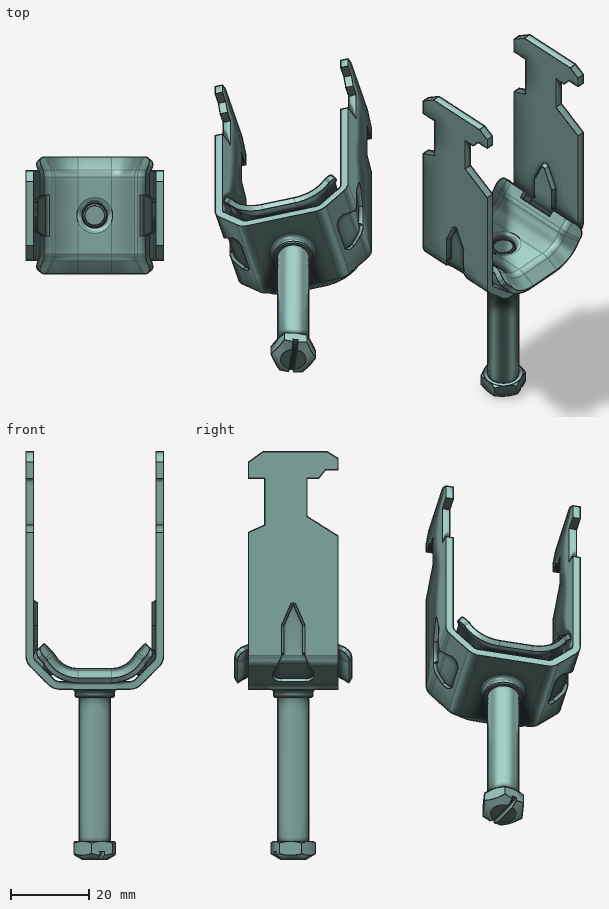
import cadquery as cq
import math


sheet = 2.0
strap_half_width = 17.7
strap_top = 60.9
bevel_start = 10.7
bend_radius = 4.0
leg_half_depth = 11.5
collar_diameter = 10.0
collar_height = 2.1
collar_fillet = 0.9
collar_chamfer = 0.3

neck_front = -7.3
neck_back = 3.6
hook_bottom = strap_top - 6.9
neck_bottom_back = strap_top - 16.6
neck_bottom_front = strap_top - 18.8
shoulder_back = strap_top - 21.6
shoulder_front = strap_top - 20.7
head_front_corner = strap_top - 2.7
head_back_corner = strap_top - 1.8
head_top_front = -7.7
head_top_back = 8.7
hook_tip_bottom = strap_top - 4.7
hook_inner = 6.5
hook_outer = 8.3

emboss_depth = 1.0
bead_half_width = 3.0
bead_shoulder = 16.4
bead_tip = 22.2
bead_tip_half_width = 0.7
bead_tip_rise = 0.5
bead_draft = 31
bead_rim = 0.6
bead_tool_depth = 1.5
bevel_bead_half_width = 5.3
bevel_bead_bottom = 2.8
bevel_bead_widest = 5.9
bevel_bead_top = 11.1
bevel_bead_radius = 2.1
bevel_tool_depth = 2.1

saddle_sheet = 1.5
saddle_floor = 5.3
floor_half_width = 4.3
trough_radius = 6.8
trough_angle = 60
arm_angle = 45
arm_bend_radius = 4.6
arm_length = 2.9
flat_half_length = 9.8
flare_angle = 30
flare_bend_radius = 3.8
saddle_length = 30.0
saddle_corner_radius = 2.5
notch_half_width = 5.2
notch_depth = 1.9
saddle_hole_diameter = 6.5
saddle_hole_rounding = 1.4

bolt_diameter = 8.0
bolt_bottom = -43.6
tip_diameter = 6.0
tip_chamfer = 0.47
tip_top = 4.4
hex_flats = 10.0
hex_turn = 22
hex_top = -39.0
hex_top_diameter = 10.0
hex_bottom_diameter = 6.5
hex_chamfer_angle = 30
slot_width = 1.3
slot_depth = 2.0

ROOT_HALF = math.sqrt(0.5)


def channel(inset):
    """The strap's outer outline moved inwards by inset and filled to the top, as a full-depth block."""
    side = strap_half_width - inset
    corner_shift = inset * math.tan(math.radians(22.5))
    base = bevel_start - corner_shift
    bevel_top = strap_half_width - bevel_start + corner_shift
    block = (
        cq.Workplane("XZ")
        .polyline([
            (-base, inset), (base, inset), (side, bevel_top), (side, strap_top),
            (-side, strap_top), (-side, bevel_top),
        ])
        .close()
        .extrude(leg_half_depth, both=True)
    )
    lower_bends = cq.selectors.BoxSelector(
        (-side - 1, -leg_half_depth, -1), (side + 1, leg_half_depth, bevel_top + 1)
    )
    return block.edges("|Y").edges(lower_bends).fillet(bend_radius - inset)


def leg_outline():
    """Side outline shared by both legs, swept across the whole width of the strap."""
    return (
        cq.Workplane("YZ")
        .polyline([
            (-leg_half_depth, 0), (-leg_half_depth, shoulder_front),
            (neck_front, neck_bottom_front), (neck_front, hook_bottom),
            (-leg_half_depth, hook_bottom), (-leg_half_depth, head_front_corner),
            (head_top_front, strap_top), (head_top_back, strap_top),
            (leg_half_depth, head_back_corner), (leg_half_depth, hook_tip_bottom),
            (hook_outer, hook_tip_bottom), (hook_inner, hook_bottom),
            (neck_back, hook_bottom), (neck_back, neck_bottom_back),
            (leg_half_depth, shoulder_back), (leg_half_depth, 0),
        ])
        .close()
        .extrude(strap_half_width, both=True)
    )


def leg_bead(face_x, rim):
    """Drafted, pointed bead running inwards from the plane X = face_x of the right-hand leg."""
    bead_bottom = strap_half_width - bevel_start
    half_width = bead_half_width + rim
    tip_half_width = bead_tip_half_width + rim / 2
    tip = bead_tip + rim
    return (
        cq.Workplane(cq.Plane(origin=(face_x, 0, 0), xDir=(0, -1, 0), normal=(-1, 0, 0)))
        .moveTo(-half_width, bead_bottom)
        .lineTo(half_width, bead_bottom)
        .lineTo(half_width, bead_shoulder)
        .lineTo(tip_half_width, tip - bead_tip_rise)
        .threePointArc((0, tip), (-tip_half_width, tip - bead_tip_rise))
        .lineTo(-half_width, bead_shoulder)
        .close()
        .extrude(bead_tool_depth, taper=bead_draft)
    )


def bevel_bead(inset):
    """Spreading lower end of the bead, square to the right-hand bevel and starting inset below it."""
    plane = cq.Plane(
        origin=(bevel_start - inset * ROOT_HALF, 0, inset * ROOT_HALF),
        xDir=(0, -1, 0),
        normal=(-1, 0, 1),
    )
    return (
        cq.Workplane(plane)
        .polyline([
            (-bead_half_width, bevel_bead_top), (bead_half_width, bevel_bead_top),
            (bevel_bead_half_width, bevel_bead_widest), (bevel_bead_half_width, bevel_bead_bottom),
            (-bevel_bead_half_width, bevel_bead_bottom), (-bevel_bead_half_width, bevel_bead_widest),
        ])
        .close()
        .extrude(bevel_tool_depth)
        .faces("<(1,0,1)")
        .edges("|(-1,0,1)")
        .fillet(bevel_bead_radius)
    )


def bead_layer(inset, rim):
    """Right-hand bead, limited to the layer one emboss depth thick that lies inset from the outside."""
    layer = channel(inset).cut(channel(inset + emboss_depth))
    return leg_bead(strap_half_width - inset, rim).union(bevel_bead(inset)).intersect(layer)


def make_strap():
    strap = channel(0).cut(channel(sheet)).intersect(leg_outline())
    pocket = bead_layer(0, 0)
    ridge = bead_layer(sheet, bead_rim)
    strap = strap.union(ridge).union(ridge.mirror("YZ"))
    strap = strap.cut(pocket).cut(pocket.mirror("YZ"))

    collar_radius = collar_diameter / 2
    collar = (
        cq.Workplane("XZ")
        .moveTo(0, 0)
        .lineTo(collar_radius + collar_fillet, 0)
        .radiusArc((collar_radius, -collar_fillet), -collar_fillet)
        .lineTo(collar_radius, collar_chamfer - collar_height)
        .lineTo(collar_radius - collar_chamfer, -collar_height)
        .lineTo(0, -collar_height)
        .close()
        .revolve(360, (0, 0, 0), (0, 1, 0))
    )
    bolt_hole = cq.Workplane("XY").workplane(offset=-collar_height).circle(bolt_diameter / 2)
    return strap.union(collar).cut(bolt_hole.extrude(collar_height + sheet))


def saddle_section():
    """Lengthwise section of the saddle at its middle: flat, with both ends flared downwards."""
    sin_f = math.sin(math.radians(flare_angle))
    cos_f = math.cos(math.radians(flare_angle))
    sin_h = math.sin(math.radians(flare_angle / 2))
    cos_h = math.cos(math.radians(flare_angle / 2))
    tip_y = saddle_length / 2
    bend_z = saddle_floor - flare_bend_radius
    inner_radius = flare_bend_radius - saddle_sheet

    def on_bend(radius, sin_a, cos_a, side):
        return (side * (flat_half_length + radius * sin_a), bend_z + radius * cos_a)

    straight_run = tip_y - flat_half_length - flare_bend_radius * sin_f
    tip_z = bend_z + flare_bend_radius * cos_f - straight_run * sin_f / cos_f
    under_y = tip_y - saddle_sheet * sin_f
    under_z = tip_z - saddle_sheet * cos_f
    under_floor = saddle_floor - saddle_sheet
    return (
        cq.Workplane("YZ")
        .moveTo(-flat_half_length, saddle_floor)
        .lineTo(flat_half_length, saddle_floor)
        .threePointArc(
            on_bend(flare_bend_radius, sin_h, cos_h, 1), on_bend(flare_bend_radius, sin_f, cos_f, 1)
        )
        .lineTo(tip_y, tip_z)
        .lineTo(under_y, under_z)
        .lineTo(*on_bend(inner_radius, sin_f, cos_f, 1))
        .threePointArc(on_bend(inner_radius, sin_h, cos_h, 1), (flat_half_length, under_floor))
        .lineTo(-flat_half_length, under_floor)
        .threePointArc(on_bend(inner_radius, sin_h, cos_h, -1), on_bend(inner_radius, sin_f, cos_f, -1))
        .lineTo(-under_y, under_z)
        .lineTo(-tip_y, tip_z)
        .lineTo(*on_bend(flare_bend_radius, sin_f, cos_f, -1))
        .threePointArc(on_bend(flare_bend_radius, sin_h, cos_h, -1), (-flat_half_length, saddle_floor))
        .close()
    )


def trough_point(angle):
    """Point on the curved upper face of the trough where its slope is angle degrees."""
    a = math.radians(angle)
    return (
        floor_half_width + trough_radius * math.sin(a),
        saddle_floor + trough_radius * (1 - math.cos(a)),
    )


def arm_bend_point(angle):
    """Point on the reverse bend between trough and arm where its slope is angle degrees."""
    start_x, start_z = trough_point(trough_angle)
    a = math.radians(angle)
    start = math.radians(trough_angle)
    return (
        start_x + arm_bend_radius * (math.sin(start) - math.sin(a)),
        start_z + arm_bend_radius * (math.cos(a) - math.cos(start)),
    )


def make_saddle():
    arm_x, arm_z = arm_bend_point(arm_angle)
    arm_dx = math.cos(math.radians(arm_angle))
    arm_dz = math.sin(math.radians(arm_angle))
    tip_x = arm_x + arm_length * arm_dx
    tip_z = arm_z + arm_length * arm_dz
    path = (
        cq.Workplane("XZ")
        .moveTo(0, saddle_floor)
        .lineTo(floor_half_width, saddle_floor)
        .threePointArc(trough_point(trough_angle / 2), trough_point(trough_angle))
        .threePointArc(arm_bend_point((trough_angle + arm_angle) / 2), (arm_x, arm_z))
        .lineTo(tip_x, tip_z)
    )
    half = saddle_section().sweep(path)

    tip_face = half.faces(cq.selectors.DirectionMinMaxSelector(cq.Vector(arm_dx, 0, arm_dz)))
    half = tip_face.edges("<Y or >Y").fillet(saddle_corner_radius)

    notch = (
        cq.Workplane(cq.Plane(origin=(tip_x, 0, tip_z), xDir=(0, 1, 0), normal=(arm_dx, 0, arm_dz)))
        .rect(2 * notch_half_width, 4 * saddle_sheet)
        .extrude(-notch_depth)
    )
    half = half.cut(notch)
    saddle = half.union(half.mirror("YZ"))

    hole_radius = saddle_hole_diameter / 2
    rim_radius = hole_radius + saddle_hole_rounding
    hole = (
        cq.Workplane("XZ")
        .moveTo(0, 0)
        .lineTo(hole_radius, 0)
        .lineTo(hole_radius, saddle_floor - saddle_hole_rounding)
        .radiusArc((rim_radius, saddle_floor), saddle_hole_rounding)
        .lineTo(rim_radius, saddle_floor + saddle_sheet)
        .lineTo(0, saddle_floor + saddle_sheet)
        .close()
        .revolve(360, (0, 0, 0), (0, 1, 0))
    )
    return saddle.cut(hole)


def make_bolt():
    hex_corner_radius = hex_flats / math.sqrt(3)
    slope = math.tan(math.radians(hex_chamfer_angle))
    top_drop = (hex_corner_radius - hex_top_diameter / 2) * slope
    bottom_rise = (hex_corner_radius - hex_bottom_diameter / 2) * slope
    head = (
        cq.Workplane("XY")
        .workplane(offset=bolt_bottom)
        .polygon(6, 2 * hex_corner_radius)
        .extrude(hex_top - bolt_bottom)
    )
    cones = (
        cq.Workplane("XZ")
        .polyline([
            (0, bolt_bottom), (hex_bottom_diameter / 2, bolt_bottom),
            (hex_corner_radius, bolt_bottom + bottom_rise), (hex_corner_radius, hex_top - top_drop),
            (hex_top_diameter / 2, hex_top), (0, hex_top),
        ])
        .close()
        .revolve(360, (0, 0, 0), (0, 1, 0))
    )
    slot = (
        cq.Workplane("XY")
        .workplane(offset=bolt_bottom)
        .rect(slot_width, 2 * hex_corner_radius)
        .extrude(slot_depth)
    )
    head = head.intersect(cones).cut(slot)
    head = head.rotate((0, 0, 0), (0, 0, 1), hex_turn)

    shank_top = saddle_floor - saddle_sheet
    shank = (
        cq.Workplane("XY")
        .workplane(offset=hex_top)
        .circle(bolt_diameter / 2)
        .extrude(shank_top - hex_top)
    )
    tip = (
        cq.Workplane("XY")
        .workplane(offset=shank_top)
        .circle(tip_diameter / 2)
        .extrude(tip_top - shank_top)
        .faces(">Z")
        .chamfer(tip_chamfer)
    )
    return head.union(shank).union(tip)


strap = make_strap()
saddle = make_saddle()
bolt = make_bolt()

result = cq.Compound.makeCompound([
    strap.solids().val(),
    saddle.solids().val(),
    bolt.solids().val(),
])